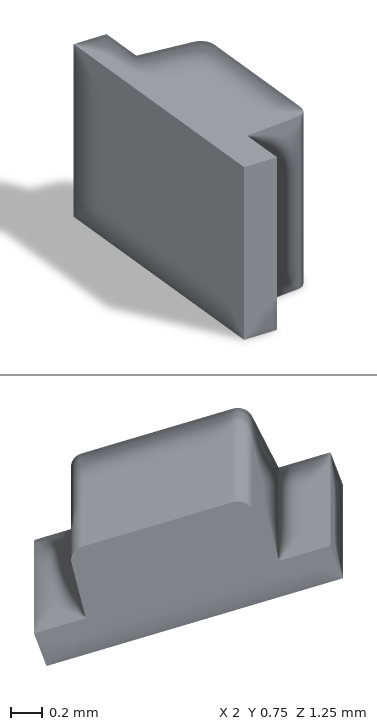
import cadquery as cq
import math

length = 2.0
depth = 0.75
height = 1.25

board_depth = 0.25
lens_foot_width = 1.3
lens_top_width = 1.2
lens_corner_radius = 0.1

plating = 0.025
front_leg = 0.4
back_leg = 0.32

mark_length = 0.75
mark_half_base = mark_length / math.sqrt(3)
mark_depth = plating

front_y = -depth / 2
back_y = depth / 2
board_back_y = front_y + board_depth
end_x = length / 2


def make_terminal(side):
    """C-shaped terminal wrapped around one end; side is -1 or 1 along X."""
    inner_x = end_x - plating
    front_tip_x = end_x - front_leg
    back_tip_x = end_x - back_leg
    outline = [
        (front_tip_x, front_y),
        (end_x, front_y),
        (end_x, board_back_y),
        (back_tip_x, board_back_y),
        (back_tip_x, board_back_y - plating),
        (inner_x, board_back_y - plating),
        (inner_x, front_y + plating),
        (front_tip_x, front_y + plating),
    ]
    points = [(side * x, y) for x, y in outline]
    return cq.Workplane("XY").polyline(points).close().extrude(height / 2, both=True)


def make_polarity_mark():
    """Thin triangular inlay, flush with the front face."""
    tip_x = -mark_length / 2
    base_x = mark_length / 2
    return (
        cq.Workplane("XZ", origin=(0, front_y, 0))
        .polyline([(tip_x, 0), (base_x, -mark_half_base), (base_x, mark_half_base)])
        .close()
        .extrude(-mark_depth)
    )


def make_housing(inlays):
    """Board and tapered lens in one piece, with recesses for the inlaid bodies."""
    board = cq.Workplane("XY").box(length, board_depth, height)
    board = board.translate((0, front_y + board_depth / 2, 0))
    lens_outline = [
        (-lens_foot_width / 2, board_back_y),
        (lens_foot_width / 2, board_back_y),
        (lens_top_width / 2, back_y),
        (-lens_top_width / 2, back_y),
    ]
    lens = (
        cq.Workplane("XY")
        .polyline(lens_outline)
        .close()
        .extrude(height / 2, both=True)
        .faces(">Y")
        .edges("|Z")
        .fillet(lens_corner_radius)
    )
    body = board.union(lens)
    for inlay in inlays:
        body = body.cut(inlay)
    return body


terminals = [make_terminal(side) for side in (-1, 1)]
polarity_mark = make_polarity_mark()
housing = make_housing([*terminals, polarity_mark])

result = cq.Compound.makeCompound(
    [housing.val(), *[terminal.val() for terminal in terminals], polarity_mark.val()]
)